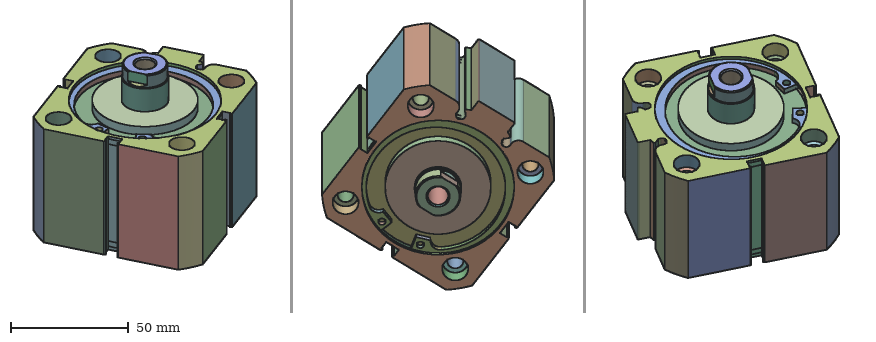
import cadquery as cq
import math


housing_width = 77.5
housing_height = 56.0
half_width = housing_width / 2
corner_radius = 49.5
bore_radius = 32.4

rail_top = 44.25
rail_half_width = 9.4
rail_edge_radius = 0.4
barb_tip_x = 11.6
barb_top_y = 37.8
barb_bottom_y = 37.0
groove_radius = 2.0
groove_center_x = 11.75
groove_center_y = 34.15
barb_foot_y = 35.15
shoulder_radius = 3.75

slot_width = 6.5
slot_floor = 34.15
slot_mouth = 5.2
slot_lip = 1.0
slot_lip_chamfer = 0.3

hole_pitch = 56.5
hole_diameter = 6.8
counterbore_diameter = 11.0
counterbore_depth = 7.0

ring_depth = 1.5
ring_thickness = 2.6
ring_outer_radius = 33.9
ring_inner_radius = 29.6
ring_inner_center_y = -1.6
neck_start_x = -18.5
neck_mid = (-16.2, -25.6)
ear_inner = (-12.2, -23.5)
ear_end = (-6.3, -25.6)
ear_foot_x = -8.1
ear_hole_center = (-9.9, -27.7)
ear_hole_diameter = 3.1

cover_boss_radius = 22.5
cover_boss_height = ring_depth + ring_thickness
cover_plate_thickness = 10.0

rod_radius = 10.0
rod_top_projection = 18.0
rod_bottom_projection = 8.0
rod_top = housing_height + rod_top_projection
rod_bottom = -rod_bottom_projection
rod_shoulder_chamfer = 0.3
tip_radius = 9.6
tip_length = 6.4
tip_chamfer = 0.5
flat_half_width = 8.5
flat_length = 5.0
thread_hole_radius = 4.35
thread_hole_mouth_radius = 5.0
thread_hole_depth = 18.0
drill_half_angle = math.radians(59)


def at_both_ends(top_body):
    """The body of the top end and its mirror copy at the bottom end."""
    mid_height = housing_height / 2
    return [top_body, top_body.mirror("XY", (0, 0, mid_height))]


def make_profile_half(side):
    """One side of the housing half at +Y: rail, barb, groove and shoulder (side = +1 or -1)."""
    shoulder_x = groove_center_x + groove_radius
    shoulder_end_x = shoulder_x + shoulder_radius
    shoulder_y = half_width - shoulder_radius
    shoulder_offset = shoulder_radius * math.sqrt(0.5)
    return (
        cq.Workplane("XY")
        .moveTo(0, 0)
        .lineTo(0, rail_top)
        .lineTo(side * (rail_half_width - rail_edge_radius), rail_top)
        .radiusArc((side * rail_half_width, rail_top - rail_edge_radius), side * rail_edge_radius)
        .lineTo(side * rail_half_width, half_width)
        .lineTo(side * barb_tip_x, barb_top_y)
        .lineTo(side * barb_tip_x, barb_bottom_y)
        .lineTo(side * (groove_center_x - groove_radius), barb_foot_y)
        .lineTo(side * (groove_center_x - groove_radius), groove_center_y)
        .threePointArc(
            (side * groove_center_x, groove_center_y - groove_radius),
            (side * shoulder_x, groove_center_y),
        )
        .lineTo(side * shoulder_x, shoulder_y)
        .threePointArc(
            (side * (shoulder_end_x - shoulder_offset), shoulder_y + shoulder_offset),
            (side * shoulder_end_x, half_width),
        )
        .lineTo(side * half_width, half_width)
        .lineTo(side * half_width, 0)
        .close()
        .extrude(housing_height)
    )


def make_slot():
    """Cutter for the sensor slot of the -Y side: wide inside, with a lipped and chamfered mouth."""
    face_y = -half_width
    half_slot = slot_width / 2
    half_mouth = slot_mouth / 2
    return (
        cq.Workplane("XY")
        .polyline([
            (-half_slot, face_y),
            (-half_mouth, face_y + slot_lip_chamfer),
            (-half_mouth, face_y + slot_lip),
            (-half_slot, face_y + slot_lip),
            (-half_slot, -slot_floor),
            (half_slot, -slot_floor),
            (half_slot, face_y + slot_lip),
            (half_mouth, face_y + slot_lip),
            (half_mouth, face_y + slot_lip_chamfer),
            (half_slot, face_y),
        ])
        .close()
        .extrude(housing_height)
    )


def make_ring_groove():
    """Cutter for the retaining ring groove of the top end."""
    return (
        cq.Workplane("XY", origin=(0, 0, housing_height - ring_depth - ring_thickness))
        .circle(ring_outer_radius)
        .extrude(ring_thickness)
    )


def make_housing():
    lower_half = (
        cq.Workplane("XY")
        .rect(housing_width, half_width)
        .extrude(housing_height)
        .translate((0, -half_width / 2, 0))
    )
    body = lower_half.union(make_profile_half(1)).union(make_profile_half(-1))
    body = body.intersect(cq.Workplane("XY").circle(corner_radius).extrude(housing_height))
    body = body.cut(cq.Workplane("XY").circle(bore_radius).extrude(housing_height))
    for groove in at_both_ends(make_ring_groove()):
        body = body.cut(groove)
    for angle in (-90, 0, 90):
        body = body.cut(make_slot().rotate((0, 0, 0), (0, 0, 1), angle))
    for face in (">Z", "<Z"):
        body = (
            body.faces(face).workplane(origin=(0, 0, 0))
            .rect(hole_pitch, hole_pitch, forConstruction=True)
            .vertices()
            .cboreHole(hole_diameter, counterbore_diameter, counterbore_depth)
        )
    return body


def make_ring():
    """Retaining ring of the top end: an eccentric open ring with two drilled ears at -Y."""
    neck_start_y = ring_inner_center_y - math.sqrt(ring_inner_radius**2 - neck_start_x**2)
    ear_foot_y = -math.sqrt(ring_outer_radius**2 - ear_foot_x**2)
    ring = (
        cq.Workplane("XY", origin=(0, 0, housing_height - ring_depth - ring_thickness))
        .moveTo(ear_foot_x, ear_foot_y)
        .threePointArc((0, ring_outer_radius), (-ear_foot_x, ear_foot_y))
        .lineTo(-ear_end[0], ear_end[1])
        .lineTo(-ear_inner[0], ear_inner[1])
        .threePointArc((-neck_mid[0], neck_mid[1]), (-neck_start_x, neck_start_y))
        .threePointArc((0, ring_inner_center_y + ring_inner_radius), (neck_start_x, neck_start_y))
        .threePointArc(neck_mid, ear_inner)
        .lineTo(*ear_end)
        .close()
        .extrude(ring_thickness)
    )
    ear_holes = (
        cq.Workplane("XY")
        .pushPoints([ear_hole_center, (-ear_hole_center[0], ear_hole_center[1])])
        .circle(ear_hole_diameter / 2)
        .extrude(housing_height)
    )
    return ring.cut(ear_holes)


def make_cover():
    """Cover of the top end: a plate under the ring with a boss flush with the housing face."""
    plate_top = housing_height - cover_boss_height
    plate = (
        cq.Workplane("XY", origin=(0, 0, plate_top - cover_plate_thickness))
        .circle(bore_radius)
        .extrude(cover_plate_thickness)
    )
    boss = (
        cq.Workplane("XY", origin=(0, 0, plate_top))
        .circle(cover_boss_radius)
        .extrude(cover_boss_height)
    )
    rod_hole = cq.Workplane("XY").circle(rod_radius).extrude(housing_height)
    return plate.union(boss).cut(rod_hole)


def make_flat_cutter(rod_length):
    """Cutter for the +Y wrench flat of the upper rod end, running out at 45 degrees."""
    outer = 2 * rod_radius
    flat_bottom = rod_length / 2 - flat_length
    return (
        cq.Workplane("YZ")
        .polyline([
            (flat_half_width, rod_length / 2),
            (flat_half_width, flat_bottom),
            (outer, flat_bottom - (outer - flat_half_width)),
            (outer, rod_length / 2),
        ])
        .close()
        .extrude(rod_radius, both=True)
    )


def make_thread_hole(rod_length):
    """Cutter for the drilled hole of the upper rod end, with a 45 degree mouth and a cone tip."""
    end = rod_length / 2
    mouth_depth = thread_hole_mouth_radius - thread_hole_radius
    cone_height = thread_hole_radius / math.tan(drill_half_angle)
    return (
        cq.Workplane("XZ")
        .polyline([
            (0, end),
            (thread_hole_mouth_radius, end),
            (thread_hole_radius, end - mouth_depth),
            (thread_hole_radius, end - thread_hole_depth),
            (0, end - thread_hole_depth - cone_height),
        ])
        .close()
        .revolve(360, (0, 0, 0), (0, 1, 0))
    )


def make_rod():
    """Through rod, built about its middle with two equal ends and then moved into place."""
    rod_length = rod_top - rod_bottom
    shank = (
        cq.Workplane("XY")
        .circle(rod_radius)
        .extrude(rod_length / 2 - tip_length, both=True)
        .faces("|Z")
        .chamfer(rod_shoulder_chamfer)
    )
    core = (
        cq.Workplane("XY")
        .circle(tip_radius)
        .extrude(rod_length / 2, both=True)
        .faces("|Z")
        .chamfer(tip_chamfer)
    )
    rod = shank.union(core)
    flat = make_flat_cutter(rod_length)
    thread_hole = make_thread_hole(rod_length)
    for cutter in (flat, flat.mirror("XZ"), thread_hole):
        rod = rod.cut(cutter).cut(cutter.mirror("XY"))
    return rod.translate((0, 0, (rod_top + rod_bottom) / 2))


housing = make_housing()
rings = at_both_ends(make_ring())
covers = at_both_ends(make_cover())
rod = make_rod()

result = cq.Compound.makeCompound([
    housing.val(),
    *[ring.val() for ring in rings],
    *[cover.val() for cover in covers],
    rod.val(),
])